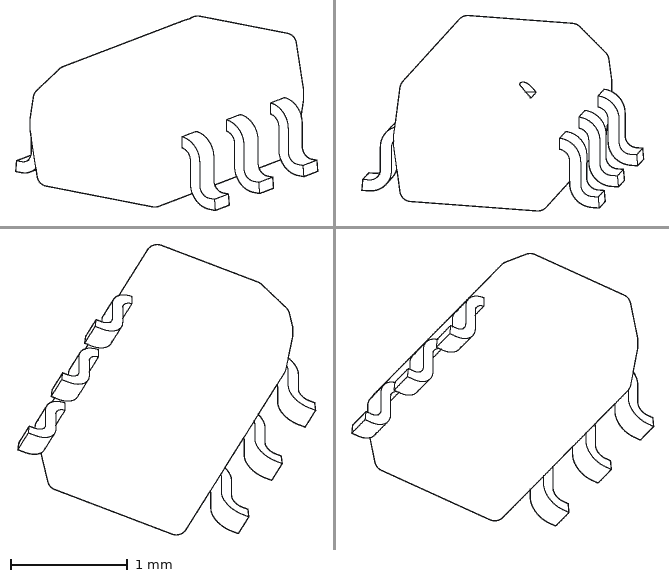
import cadquery as cq

housing_width = 1.401
housing_length = 2.2
housing_height = 1.1
belt_height = 0.101
draft_angle = 6.0
edge_radius = 0.1
half_height = (housing_height - belt_height) / 2
belt_bottom = half_height
belt_top = belt_bottom + belt_height

bevel_top_x = -0.4

mark_x = -0.469
mark_y = 0.865
mark_diameter = 0.18
mark_depth = 0.1

overall_width = 2.1
lead_thickness = 0.1
lead_width = 0.207
lead_pitch = 0.651
leads_per_side = 3
inner_bend_radius = 0.1
outer_bend_radius = inner_bend_radius + lead_thickness
shank_outer_x = 0.887
tip_slant = 0.009


def tapered_half():
    """Half of the housing, rising from its wide face at Z = 0 and narrowing by the draft."""
    return (
        cq.Workplane("XY")
        .rect(housing_width, housing_length)
        .extrude(half_height, taper=draft_angle)
    )


def bevel_cutter():
    """Wedge lying outside the 45 degree bevel of the upper half."""
    return (
        cq.Workplane("XZ")
        .moveTo(bevel_top_x, housing_height)
        .lineTo(bevel_top_x - half_height, belt_top)
        .lineTo(bevel_top_x - half_height, housing_height)
        .close()
        .extrude(housing_length, both=True)
    )


def pin_one_mark():
    return (
        cq.Workplane("XY", origin=(mark_x, mark_y, housing_height - mark_depth))
        .circle(mark_diameter / 2)
        .extrude(mark_depth)
    )


def make_housing():
    belt = (
        cq.Workplane("XY", origin=(0, 0, belt_bottom))
        .rect(housing_width, housing_length)
        .extrude(belt_height)
    )
    upper = tapered_half().translate((0, 0, belt_top))
    lower = tapered_half().mirror("XY").translate((0, 0, belt_bottom))
    blank = belt.union(upper).union(lower).cut(bevel_cutter())
    return blank.edges().fillet(edge_radius).cut(pin_one_mark())


def make_lead(y, housing):
    """One lead on the +X side, centred at the given Y, ending flush against the housing wall."""
    tip_x = overall_width / 2
    shank_inner_x = shank_outer_x - lead_thickness
    heel_x = shank_outer_x + inner_bend_radius
    root_x = shank_outer_x - outer_bend_radius
    root_top = (housing_height + lead_thickness) / 2
    shank_top = root_top - outer_bend_radius
    strip = (
        cq.Workplane("XZ", origin=(0, y + lead_width / 2, 0))
        .moveTo(root_x, root_top)
        .radiusArc((shank_outer_x, shank_top), outer_bend_radius)
        .lineTo(shank_outer_x, outer_bend_radius)
        .radiusArc((heel_x, lead_thickness), -inner_bend_radius)
        .lineTo(tip_x - tip_slant, lead_thickness)
        .lineTo(tip_x, 0)
        .lineTo(heel_x, 0)
        .radiusArc((shank_inner_x, outer_bend_radius), outer_bend_radius)
        .lineTo(shank_inner_x, shank_top)
        .radiusArc((root_x, root_top - lead_thickness), -inner_bend_radius)
        .close()
        .extrude(lead_width)
    )
    return strip.cut(housing)


housing = make_housing()
leads = []
for index in range(leads_per_side):
    lead = make_lead((index - (leads_per_side - 1) / 2) * lead_pitch, housing)
    leads.append(lead.val())
    leads.append(lead.mirror("YZ").val())

result = cq.Compound.makeCompound([housing.val(), *leads])